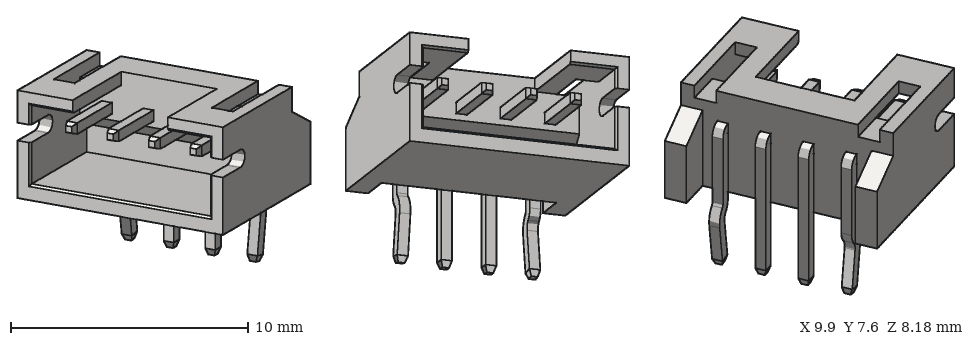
import cadquery as cq
import math


width = 9.9
body_depth = 6.01
height = 4.8
overall_depth = 7.6

side_wall = 0.63
roof = 0.59
floor = 0.71
cavity_depth = 4.25
mouth_chamfer = 0.1
recess_back_height = 1.96
recess_front_height = 2.56
recess_depth = cavity_depth + recess_front_height - recess_back_height

ear_width = 1.01
ear_slope_top = height - 1.11
ear_slope_bottom = height - 2.02

notch_width = 4.59
window_width = 1.01
window_front = 2.0
slot_depth = 1.9
slot_height = 0.79
slot_bottom = recess_front_height

pin_count = 4
pitch = 2.0
pin_size = 0.495
pin_height = 3.1
pin_front = 0.94
pin_bottom = -3.38
tip_length = 0.3
tip_end_size = 0.3
leg_axis = body_depth + pin_size / 2

kink_start = -0.35
kink_out_angle = math.radians(45)
kink_return_angle = math.radians(9)
kink_first_radius = 0.2 + pin_size / 2
kink_second_radius = 0.47 + pin_size / 2

pin_positions = [(i - (pin_count - 1) / 2) * pitch for i in range(pin_count)]


def block(x_range, y_range, z_range):
    """Box between the given limits."""
    size = [end - start for start, end in (x_range, y_range, z_range)]
    corner = (x_range[0], y_range[0], z_range[0])
    return cq.Workplane("XY").box(*size, centered=False).translate(corner)


def extrude_profile(points, x_start, x_width):
    """Closed Y-Z outline extruded along +X."""
    return cq.Workplane("YZ", origin=(x_start, 0, 0)).polyline(points).close().extrude(x_width)


def make_ear(x_start):
    """Rear ear with a sloped top."""
    outline = [
        (0, 0),
        (overall_depth, 0),
        (overall_depth, ear_slope_bottom),
        (body_depth, ear_slope_top),
        (0, ear_slope_top),
    ]
    return extrude_profile(outline, x_start, ear_width)


def make_cavity():
    """Cavity with a sloped undercut at the back and a chamfered mouth."""
    ceiling = height - roof
    inner_width = width - 2 * side_wall
    outline = [
        (0, floor),
        (recess_depth, floor),
        (recess_depth, recess_back_height),
        (cavity_depth, recess_front_height),
        (cavity_depth, ceiling),
        (0, ceiling),
    ]
    cavity = extrude_profile(outline, -inner_width / 2, inner_width)

    mouth_width = inner_width + 2 * mouth_chamfer
    mouth_height = ceiling - floor + 2 * mouth_chamfer
    mouth = (
        cq.Workplane("XZ", origin=(0, 0, (floor + ceiling) / 2))
        .rect(mouth_width, mouth_height)
        .workplane(offset=-mouth_chamfer)
        .rect(inner_width, ceiling - floor)
        .loft(ruled=True)
    )
    return cavity.union(mouth)


def make_side_slot():
    """Round-ended slot, open at the front, through both side walls."""
    radius = slot_height / 2
    middle = slot_bottom + radius
    top = slot_bottom + slot_height
    return (
        cq.Workplane("YZ", origin=(-width / 2, 0, 0))
        .moveTo(0, slot_bottom)
        .lineTo(slot_depth - radius, slot_bottom)
        .threePointArc((slot_depth, middle), (slot_depth - radius, top))
        .lineTo(0, top)
        .close()
        .extrude(width)
    )


def make_pin_hole(x):
    """Square hole for a pin through the back wall."""
    half = pin_size / 2
    return block((x - half, x + half), (cavity_depth, body_depth), (pin_height - half, pin_height + half))


def make_housing():
    half = width / 2
    housing = block((-half, half), (0, body_depth), (0, height))
    for ear_start in (-half, half - ear_width):
        housing = housing.union(make_ear(ear_start))

    housing = housing.cut(make_cavity()).cut(make_side_slot())

    roof_range = (height - roof, height)
    notch = block((-notch_width / 2, notch_width / 2), (0, cavity_depth), roof_range)
    housing = housing.cut(notch)
    for window_start in (-half + side_wall, half - side_wall - window_width):
        window_range = (window_start, window_start + window_width)
        housing = housing.cut(block(window_range, (window_front, body_depth), roof_range))

    for x in pin_positions:
        housing = housing.cut(make_pin_hole(x))
    return housing


def make_tip(base, direction):
    """Tapered square pin end that starts at base and points along direction."""
    plane = cq.Plane(origin=base, xDir=(1, 0, 0), normal=direction)
    return (
        cq.Workplane(plane)
        .rect(pin_size, pin_size)
        .workplane(offset=tip_length)
        .rect(tip_end_size, tip_end_size)
        .loft(ruled=True)
    )


def make_arm():
    """Horizontal arm and the upper leg, joined by a bend that is round on the outside."""
    half = pin_size / 2
    top = pin_height + half
    bottom = pin_height - half
    leg_front = leg_axis - half
    leg_back = leg_axis + half
    shoulder = pin_front + tip_length
    diagonal = pin_size * math.sqrt(0.5)
    bend_middle = (leg_front + diagonal, bottom + diagonal)
    bar = (
        cq.Workplane("YZ", origin=(-half, 0, 0))
        .moveTo(shoulder, bottom)
        .lineTo(shoulder, top)
        .lineTo(leg_front, top)
        .threePointArc(bend_middle, (leg_back, bottom))
        .lineTo(leg_back, kink_start)
        .lineTo(leg_front, kink_start)
        .lineTo(leg_front, bottom)
        .close()
        .extrude(pin_size)
    )
    return bar.union(make_tip((0, shoulder, pin_height), (0, -1, 0)))


def make_straight_leg():
    """Lower leg that runs straight down to its tip."""
    half = pin_size / 2
    shoulder = pin_bottom + tip_length
    leg = block((-half, half), (leg_axis - half, leg_axis + half), (shoulder, kink_start))
    return leg.union(make_tip((0, leg_axis, shoulder), (0, 0, -1)))


def make_kinked_leg(side):
    """Lower leg that bulges towards +Y (side = 1) or -Y (side = -1) and leans back to its axis."""
    out_cos = math.cos(kink_out_angle)
    out_sin = math.sin(kink_out_angle)
    return_cos = math.cos(kink_return_angle)
    return_sin = math.sin(kink_return_angle)

    first_y = leg_axis + side * kink_first_radius * (1 - out_cos)
    first_z = kink_start - kink_first_radius * out_sin
    second_y = first_y + side * kink_second_radius * (return_cos - out_cos)
    second_z = first_z - kink_second_radius * (out_sin + return_sin)
    tip_end_z = pin_bottom + tip_end_size / 2 * return_sin
    straight = (second_z - tip_end_z) / return_cos - tip_length
    shoulder_y = second_y - side * straight * return_sin
    shoulder_z = second_z - straight * return_cos

    path = (
        cq.Workplane("YZ")
        .moveTo(leg_axis, 0)
        .lineTo(leg_axis, kink_start)
        .tangentArcPoint((first_y, first_z), relative=False)
        .tangentArcPoint((second_y, second_z), relative=False)
        .lineTo(shoulder_y, shoulder_z)
    )
    leg = cq.Workplane("XY", origin=(0, leg_axis, 0)).rect(pin_size, pin_size).sweep(path)
    tip = make_tip((0, shoulder_y, shoulder_z), (0, -side * return_sin, -return_cos))
    return leg.union(tip)


def make_pin(index):
    """Pin at the given place in the row; the two end pins have kinked legs."""
    if index == 0:
        leg = make_kinked_leg(-1)
    elif index == pin_count - 1:
        leg = make_kinked_leg(1)
    else:
        leg = make_straight_leg()
    return make_arm().union(leg).translate((pin_positions[index], 0, 0))


housing = make_housing()
pins = [make_pin(i) for i in range(pin_count)]

result = cq.Compound.makeCompound([housing.solids().val(), *[pin.solids().val() for pin in pins]])